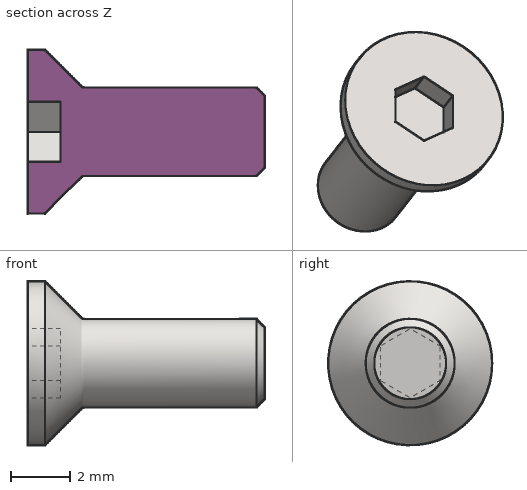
import cadquery as cq
import math

length = 8.0
head_diameter = 5.54
shank_diameter = 3.0
rim_thickness = 0.58
neck_fillet_radius = 0.1
tip_chamfer = 0.29
hex_across_flats = 2.02
socket_depth = 1.1

head_radius = head_diameter / 2
shank_radius = shank_diameter / 2
cone_end = rim_thickness + head_radius - shank_radius
start_x = -length / 2


def screw_body():
    """Revolve the head, cone and shank, then blend the neck and chamfer the tip."""
    profile = (
        cq.Workplane("XY")
        .moveTo(0, 0)
        .lineTo(0, head_radius)
        .lineTo(rim_thickness, head_radius)
        .lineTo(cone_end, shank_radius)
        .lineTo(length, shank_radius)
        .lineTo(length, 0)
        .close()
    )
    body = profile.revolve(360, (0, 0, 0), (1, 0, 0))
    neck = cq.selectors.NearestToPointSelector((cone_end, 0, 0))
    body = body.edges("%CIRCLE").edges(neck).fillet(neck_fillet_radius)
    return body.faces(">X").edges().chamfer(tip_chamfer)


def hex_socket():
    """Hexagonal prism with flats facing Y and corners facing Z."""
    across_corners = hex_across_flats / math.cos(math.pi / 6)
    prism = cq.Workplane("YZ").polygon(6, across_corners).extrude(socket_depth)
    return prism.rotate((0, 0, 0), (1, 0, 0), 30)


result = screw_body().cut(hex_socket()).translate((start_x, 0, 0))